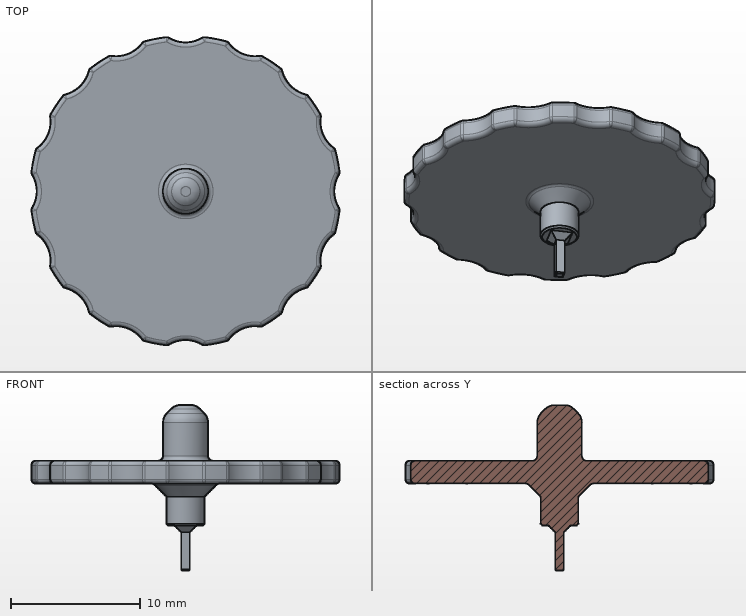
import cadquery as cq
import math

overall_height = 12.8

disc_radius = 12.0
disc_thickness = 1.79
edge_fillet = 0.35
scallop_count = 16
scallop_radius = 2.5
scallop_floor_radius = 11.5

post_diameter = 3.5
post_height = 4.3
tip_chamfer = 0.95
tip_fillet = 1.0
post_root_fillet = 0.35

hub_diameter = 2.95
hub_length = 3.25
hub_cone_height = 1.0
hub_root_fillet = 0.35
hub_end_chamfer = 0.15

pin_width = 0.7
pin_bottom_z = post_height - overall_height
pin_root_height = 0.5
pin_end_chamfer = 0.1

half_fillet_angle = math.radians(45) / 2

disc_bottom_z = -disc_thickness
hub_bottom_z = disc_bottom_z - hub_length


def make_disc():
    """Disc with scallops around its rim and every edge rounded."""
    disc = cq.Workplane("XY").workplane(offset=disc_bottom_z).circle(disc_radius).extrude(disc_thickness)
    scallops = (
        cq.Workplane("XY")
        .workplane(offset=disc_bottom_z)
        .polarArray(scallop_floor_radius + scallop_radius, 0, 360, scallop_count)
        .circle(scallop_radius)
        .extrude(disc_thickness)
    )
    disc = disc.cut(scallops)
    return disc.edges().fillet(edge_fillet)


def make_post():
    """Revolved post with a tangent tip profile and a concave fillet at its root."""
    radius = post_diameter / 2
    tip_tangent = tip_fillet * math.tan(half_fillet_angle)
    tip_diagonal = tip_tangent * math.cos(math.radians(45))
    shoulder_z = post_height - tip_chamfer
    flat_radius = radius - tip_chamfer
    arc_bulge = tip_fillet * math.sin(half_fillet_angle)
    arc_offset = tip_fillet * (1 - math.cos(half_fillet_angle))
    root_offset = post_root_fillet * (1 - math.cos(math.radians(45)))
    profile = (
        cq.Workplane("XZ")
        .moveTo(0, disc_bottom_z)
        .lineTo(radius + post_root_fillet, disc_bottom_z)
        .lineTo(radius + post_root_fillet, 0)
        .threePointArc((radius + root_offset, root_offset), (radius, post_root_fillet))
        .lineTo(radius, shoulder_z - tip_tangent)
        .threePointArc(
            (radius - arc_offset, shoulder_z - tip_tangent + arc_bulge),
            (radius - tip_diagonal, shoulder_z + tip_diagonal),
        )
        .lineTo(flat_radius + tip_diagonal, post_height - tip_diagonal)
        .threePointArc(
            (flat_radius - tip_tangent + arc_bulge, post_height - arc_offset),
            (flat_radius - tip_tangent, post_height),
        )
        .lineTo(0, post_height)
        .close()
    )
    return profile.revolve(360, (0, 0), (0, 1))


def make_hub():
    """Revolved hub: fillet under the disc, cone, cylinder and chamfered end."""
    radius = hub_diameter / 2
    root_radius = radius + hub_cone_height
    root_tangent = hub_root_fillet * math.tan(half_fillet_angle)
    root_diagonal = root_tangent * math.cos(math.radians(45))
    root_end = root_radius + root_tangent
    profile = (
        cq.Workplane("XZ")
        .moveTo(0, 0)
        .lineTo(root_end, 0)
        .lineTo(root_end, disc_bottom_z)
        .threePointArc(
            (
                root_end - hub_root_fillet * math.sin(half_fillet_angle),
                disc_bottom_z - hub_root_fillet * (1 - math.cos(half_fillet_angle)),
            ),
            (root_radius - root_diagonal, disc_bottom_z - root_diagonal),
        )
        .lineTo(radius, disc_bottom_z - hub_cone_height)
        .lineTo(radius, hub_bottom_z + hub_end_chamfer)
        .lineTo(radius - hub_end_chamfer, hub_bottom_z)
        .lineTo(0, hub_bottom_z)
        .close()
    )
    return profile.revolve(360, (0, 0), (0, 1))


def make_pin():
    """Square pin with a chamfered end and a pyramid at its root."""
    pin = (
        cq.Workplane("XY")
        .workplane(offset=pin_bottom_z)
        .rect(pin_width, pin_width)
        .extrude(hub_bottom_z - pin_bottom_z)
        .faces("<Z")
        .edges()
        .chamfer(pin_end_chamfer)
    )
    root_width = pin_width + 2 * pin_root_height
    root = (
        cq.Workplane("XY")
        .workplane(offset=hub_bottom_z)
        .rect(root_width, root_width)
        .workplane(offset=-pin_root_height)
        .rect(pin_width, pin_width)
        .loft(ruled=True)
    )
    return pin.union(root)


result = make_disc().union(make_post()).union(make_hub()).union(make_pin())